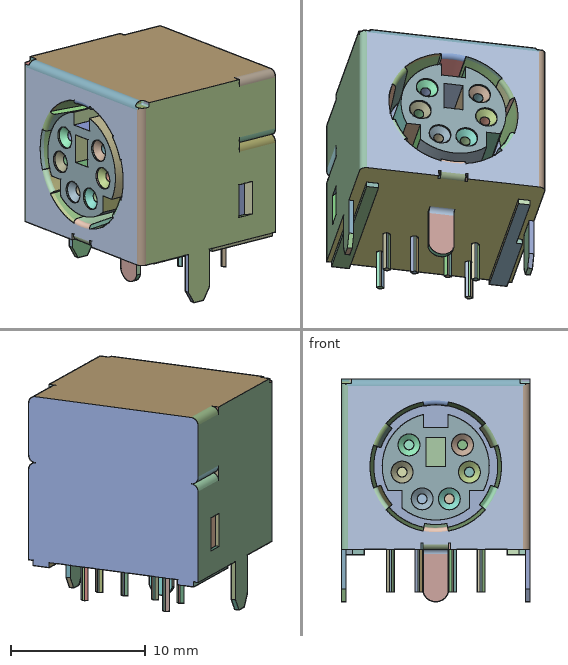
import cadquery as cq
import math


width = 14.0
depth = 12.84
total_height = 16.52
leg_length = 3.88
height = total_height - leg_length
half_width = width / 2
sheet = 0.36
upright_radius = 0.5
roll_radius = 0.56

fold_length = 3.45
seam_z = 7.53

relief_size = 0.76
relief_drop = 0.35
relief_radius = 0.13

window_y = 9.32
window_length = 1.3
window_ramp = 0.55
window_z = 1.88
window_height = 2.55
window_depth = 0.28

socket_z = 6.15
opening_radius = 4.87
bore_end_radius = 4.6
bore_depth = 4.95

finger_count = 6
finger_angle = 22.2
finger_roll = 0.31
finger_root_radius = opening_radius - finger_roll
finger_tip_radius = 4.3
finger_length = 3.96

core_radius = 3.96
key_width = 1.82
key_floor = 2.87
shoulder_z = -1.78
shoulder_half_width = 2.51
slot_width = 1.42
slot_height = 2.15
contact_spots = [(1.98, 1.6), (2.5, -0.41), (1.0, -2.4)]
contact_mouth_radius = 0.81
contact_radius = 0.36
contact_mouth_depth = 0.13
contact_cone_depth = contact_mouth_radius - contact_radius
contact_depth = 3.3

leg_y = 4.5
side_leg_width = 2.03
side_leg_taper_height = 0.94
side_leg_front_inset = 0.56
side_leg_rear_inset = 0.58
front_leg_width = 1.88
front_leg_tip = 0.73
slit_width = 0.17
slit_height = 0.48

foot_height = 0.4
foot_y = 1.88
foot_inner_x = 5.29
foot_step_x = 6.18
foot_step_y = 7.07

pin_length = 3.15
pin_width = 0.6
pin_thickness = 0.36
pin_flat = 0.13
pin_inner_x = 1.25
pin_outer_x = 3.35
pin_front_y = 8.36
pin_rear_y = 10.82


def block(x0, x1, y0, y1, z0, z1):
    """Box between two opposite corners."""
    return cq.Workplane("XY").box(x1 - x0, y1 - y0, z1 - z0, centered=False).translate((x0, y0, z0))


def both_sides(solid):
    """The solid together with its mirror image across the middle plane."""
    return solid.union(solid.mirror("YZ"))


def turned(profile, x, z):
    """Open (radius, depth) outline closed and revolved about an axis along Y through x and z."""
    return profile.close().revolve(360, (0, 0, 0), (0, 1, 0)).translate((x, 0, z))


def shell_body():
    """Block with rounded front uprights and a rounded front top edge."""
    plan = (
        block(-half_width, half_width, 0, depth, 0, height)
        .edges("|Z and <Y").fillet(upright_radius)
    )
    side = (
        block(-half_width, half_width, 0, depth, 0, height)
        .edges("|X and <Y and >Z").fillet(roll_radius)
    )
    return plan.intersect(side)


def edge_rounding(z, direction):
    """Waste outside a fold on the +X side that starts at height z and curls along direction (+1 or -1)."""
    diagonal = roll_radius * math.sqrt(0.5)
    centre_x = half_width - roll_radius
    return (
        cq.Workplane("XZ", origin=(0, depth, 0))
        .moveTo(half_width, z)
        .threePointArc(
            (centre_x + diagonal, z + direction * diagonal),
            (centre_x, z + direction * roll_radius),
        )
        .lineTo(half_width, z + direction * roll_radius)
        .close()
        .extrude(fold_length)
    )


def rear_folds():
    """Rounded rear top edges and the seam where two folds meet in each side."""
    top = edge_rounding(height - roll_radius, 1)
    seam_upper = edge_rounding(seam_z + roll_radius, -1)
    seam_lower = edge_rounding(seam_z - roll_radius, 1)
    return both_sides(top.union(seam_upper).union(seam_lower))


def corner_reliefs():
    """Notches in the front top corners, rounded along their inner edges."""
    inner_x = half_width - relief_size
    notch = (
        block(inner_x, half_width + sheet, -sheet, relief_size, height - relief_drop, height + sheet)
        .edges("(|Z and <X and >Y) or (|X and <Z and >Y) or (|Y and <Z and <X)")
        .fillet(relief_radius)
    )
    return both_sides(notch)


def side_windows():
    """Pockets whose rear end ramps out to the side wall."""
    rear_y = window_y + window_length
    pocket = (
        cq.Workplane("XY", origin=(0, 0, window_z))
        .moveTo(half_width, window_y)
        .lineTo(half_width - window_depth, window_y)
        .lineTo(half_width - window_depth, rear_y - window_ramp)
        .lineTo(half_width, rear_y)
        .close()
        .extrude(window_height)
    )
    return both_sides(pocket)


def socket_bore():
    """Round opening through the sheet, tapering towards its floor behind it."""
    profile = (
        cq.Workplane("XY")
        .lineTo(opening_radius, 0)
        .lineTo(opening_radius, sheet)
        .lineTo(bore_end_radius, bore_depth)
        .lineTo(0, bore_depth)
    )
    return turned(profile, 0, socket_z)


def finger(angle, tip_radius):
    """Finger rolled in from the rim and running back along the bore, placed clockwise from the top."""
    diagonal = finger_roll * math.sqrt(0.5)
    root = finger_root_radius
    return (
        cq.Workplane("XY")
        .moveTo(opening_radius, 0)
        .threePointArc((opening_radius - diagonal, finger_roll - diagonal), (root, finger_roll))
        .lineTo(tip_radius, finger_length)
        .lineTo(opening_radius, finger_length)
        .close()
        .revolve(finger_angle, (0, 0, 0), (0, 1, 0))
        .rotate((0, 0, 0), (0, 1, 0), angle - 90 - finger_angle / 2)
        .translate((0, 0, socket_z))
    )


def fingers():
    """Ring of fingers; the top one runs straight back, the others lean inwards."""
    ring = finger(0, finger_root_radius)
    for index in range(1, finger_count):
        ring = ring.union(finger(index * 360 / finger_count, finger_tip_radius))
    return ring


def contact_hole(x, z):
    """Round contact hole with a short mouth and a conical lead-in."""
    cone_end = contact_mouth_depth + contact_cone_depth
    profile = (
        cq.Workplane("XY")
        .lineTo(contact_mouth_radius, 0)
        .lineTo(contact_mouth_radius, contact_mouth_depth)
        .lineTo(contact_radius, cone_end)
        .lineTo(contact_radius, contact_depth)
        .lineTo(0, contact_depth)
    )
    return turned(profile, x, socket_z + z)


def contact_core():
    """Keyed round core standing in the bore, with its slot and contact holes."""
    core = cq.Workplane("XZ", origin=(0, 0, socket_z)).circle(core_radius).extrude(-bore_depth)
    key = block(
        -key_width / 2, key_width / 2, 0, bore_depth, socket_z + key_floor, socket_z + core_radius
    )
    shoulder = block(
        shoulder_half_width, core_radius, 0, bore_depth, socket_z - core_radius, socket_z + shoulder_z
    )
    slot = block(-slot_width / 2, slot_width / 2, 0, bore_depth, socket_z, socket_z + slot_height)
    core = core.cut(key).cut(both_sides(shoulder)).cut(slot)
    for x, z in contact_spots:
        core = core.cut(both_sides(contact_hole(x, z)))
    return core


def side_legs():
    """Flat legs continuing the side walls downwards to tapered tips."""
    rear_y = leg_y + side_leg_width
    taper_z = side_leg_taper_height - leg_length
    leg = (
        cq.Workplane("YZ", origin=(half_width - sheet, 0, 0))
        .moveTo(leg_y, sheet)
        .lineTo(leg_y, taper_z)
        .lineTo(leg_y + side_leg_front_inset, -leg_length)
        .lineTo(rear_y - side_leg_rear_inset, -leg_length)
        .lineTo(rear_y, taper_z)
        .lineTo(rear_y, sheet)
        .close()
        .extrude(sheet)
    )
    return both_sides(leg)


def front_leg():
    """Round-tipped leg bent down from the bottom of the shell."""
    half = front_leg_width / 2
    shoulder = front_leg_tip - leg_length
    blade = (
        cq.Workplane("XZ", origin=(0, leg_y + sheet, 0))
        .moveTo(-half, sheet)
        .lineTo(-half, shoulder)
        .threePointArc((0, -leg_length), (half, shoulder))
        .lineTo(half, sheet)
        .close()
        .extrude(sheet)
    )
    bend = block(-half, half, leg_y - sheet, leg_y, -sheet, 0)
    bend_space = (
        cq.Workplane("YZ", origin=(-half, leg_y - sheet, -sheet)).circle(sheet).extrude(front_leg_width)
    )
    return blade.union(bend.cut(bend_space))


def front_fold():
    """Waste below the rounded fold that leads to the front leg."""
    half = front_leg_width / 2
    corner = block(-half, half, 0, sheet, 0, sheet)
    fold = cq.Workplane("YZ", origin=(-half, sheet, sheet)).circle(sheet).extrude(front_leg_width)
    return corner.cut(fold)


def fold_slits():
    """Narrow slits on both sides of the front fold."""
    inner_x = front_leg_width / 2
    return both_sides(block(inner_x, inner_x + slit_width, 0, sheet, 0, slit_height))


def feet():
    """Stepped rails along the bottom, just inside the side walls."""
    narrow = block(foot_inner_x, foot_step_x, foot_y, depth, -foot_height, 0)
    wide = block(foot_step_x, half_width - sheet, foot_step_y, depth, -foot_height, 0)
    return both_sides(narrow.union(wide))


def pins():
    """Six hexagonal solder pins: four in the front row and two behind."""
    spots = [(pin_inner_x, pin_front_y), (pin_outer_x, pin_front_y), (pin_outer_x, pin_rear_y)]
    tip = pin_width / 2
    flat = pin_flat / 2
    side = pin_thickness / 2
    outline = [(-tip, 0), (-flat, -side), (flat, -side), (tip, 0), (flat, side), (-flat, side)]
    group = cq.Workplane("XY")
    for x, y in spots:
        pin = cq.Workplane("XY", origin=(x, y, 0)).polyline(outline).close().extrude(-pin_length)
        group = group.union(both_sides(pin))
    return group


body = shell_body().cut(rear_folds()).cut(corner_reliefs()).cut(side_windows())
body = body.cut(socket_bore()).union(fingers()).union(contact_core())
body = body.cut(front_fold()).cut(fold_slits())
result = body.union(side_legs()).union(front_leg()).union(feet()).union(pins())